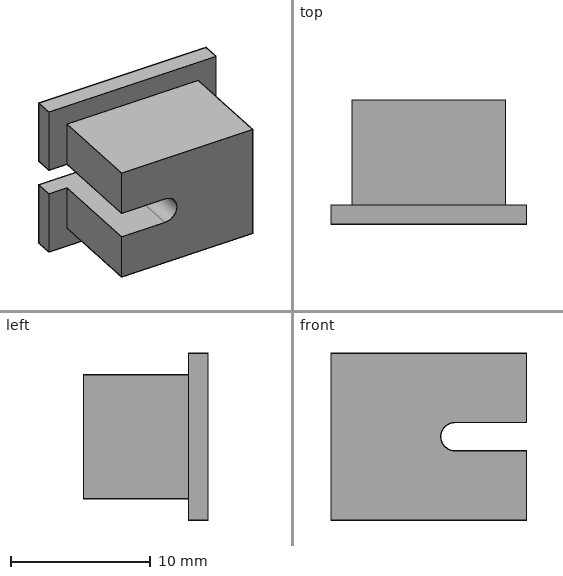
import cadquery as cq

flange_width = 14.0
flange_height = 11.95
flange_thickness = 1.4

total_depth = 8.9
plug_width = 10.98
plug_height = 8.88
plug_depth = total_depth - flange_thickness

slot_height = 2.0
slot_length = 6.13
slot_radius = slot_height / 2


def block(width, depth, height, front):
    """Box centred on X and Z whose front face is at Y = front."""
    return cq.Workplane("XY").box(width, depth, height).translate((0, front + depth / 2, 0))


def slot_cutter():
    open_end = flange_width / 2
    arc_center = open_end - slot_length + slot_radius
    return (
        cq.Workplane("XZ")
        .moveTo(open_end, slot_radius)
        .lineTo(arc_center, slot_radius)
        .threePointArc((open_end - slot_length, 0), (arc_center, -slot_radius))
        .lineTo(open_end, -slot_radius)
        .close()
        .extrude(-total_depth)
    )


flange = block(flange_width, flange_thickness, flange_height, 0)
plug = block(plug_width, plug_depth, plug_height, flange_thickness)
result = flange.union(plug).cut(slot_cutter())